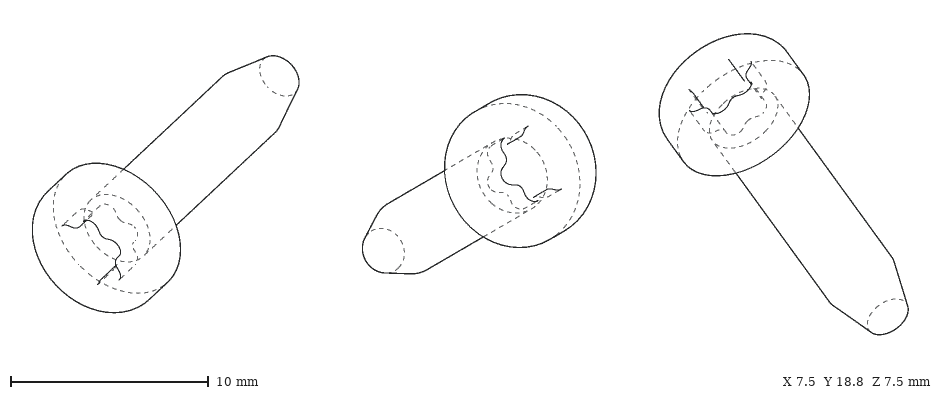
import cadquery as cq
import math

total_length = 18.8
head_diameter = 7.5
head_height = 2.8
head_fillet = 1.0
shank_diameter = 3.9
tip_diameter = 2.33
tip_length = 3.0

lobe_count = 6
lobe_tip_radius = 2.0
lobe_radius = 0.53
flank_angle = 66.0
flank_length = 0.2
recess_depth = 2.0
recess_fillet = 0.2

shank_length = total_length - head_height
half_pitch = math.pi / lobe_count
selection_margin = 0.02


def polar(radius, angle):
    """Point in the recess plane at a distance and angle from the screw axis."""
    return (radius * math.cos(angle), radius * math.sin(angle))


def offset(point, distance, angle):
    """Point shifted by a distance in the given direction."""
    step = polar(distance, angle)
    return (point[0] + step[0], point[1] + step[1])


def screw_body():
    """Head, shank and tapered tip, with the underside of the head at Y = 0."""
    head_radius = head_diameter / 2
    shank_radius = shank_diameter / 2
    profile = (
        cq.Workplane("XY")
        .moveTo(0, -head_height)
        .lineTo(head_radius, -head_height)
        .lineTo(head_radius, 0)
        .lineTo(shank_radius, 0)
        .lineTo(shank_radius, shank_length - tip_length)
        .lineTo(tip_diameter / 2, shank_length)
        .lineTo(0, shank_length)
        .close()
    )
    body = profile.revolve(360, (0, 0, 0), (0, 1, 0))
    return body.faces("<Y").edges().fillet(head_fillet)


def lobe_outline(plane):
    """Closed six-lobe outline: lobe arcs and valley arcs joined by straight tangent flanks."""
    lobe_center_radius = lobe_tip_radius - lobe_radius

    flank_normal = math.radians(flank_angle)
    flank_direction = flank_normal + math.pi / 2

    lobe_end = offset((lobe_center_radius, 0), lobe_radius, flank_normal)
    valley_start = offset(lobe_end, flank_length, flank_direction)
    valley_distance = math.hypot(*valley_start)
    valley_angle = math.atan2(valley_start[1], valley_start[0])

    from_axis = valley_distance * math.sin(half_pitch - valley_angle)
    valley_radius = from_axis / math.sin(flank_normal - half_pitch)
    valley_center = offset(valley_start, valley_radius, flank_normal)
    valley_floor_radius = math.hypot(*valley_center) - valley_radius

    lobe_end_distance = math.hypot(*lobe_end)
    lobe_end_angle = math.atan2(lobe_end[1], lobe_end[0])
    first_axis = math.pi / 2
    outline = plane.moveTo(*polar(lobe_end_distance, first_axis - lobe_end_angle))
    for index in range(lobe_count):
        lobe_axis = first_axis + 2 * half_pitch * index
        valley_axis = lobe_axis + half_pitch
        next_lobe_axis = valley_axis + half_pitch
        outline = (
            outline
            .threePointArc(
                polar(lobe_tip_radius, lobe_axis),
                polar(lobe_end_distance, lobe_axis + lobe_end_angle),
            )
            .lineTo(*polar(valley_distance, lobe_axis + valley_angle))
            .threePointArc(
                polar(valley_floor_radius, valley_axis),
                polar(valley_distance, next_lobe_axis - valley_angle),
            )
            .lineTo(*polar(lobe_end_distance, next_lobe_axis - lobe_end_angle))
        )
    return outline.close()


def recess_edges_at(body, y):
    """Edges of the recess outline at a given position along the screw axis."""
    reach = lobe_tip_radius + selection_margin
    return body.edges(
        cq.selectors.BoxSelector(
            (-reach, y - selection_margin, -reach),
            (reach, y + selection_margin, reach),
            boundingbox=True,
        )
    )


def cut_drive_recess(body):
    """Six-lobe pocket in the head face, rounded at its rim and around its floor."""
    face_y = -head_height
    plane = cq.Workplane("XZ", origin=(0, face_y, 0))
    recess = lobe_outline(plane).extrude(-recess_depth)
    recess = recess.faces(">Y").edges().fillet(recess_fillet)
    body = body.cut(recess)
    return recess_edges_at(body, face_y).fillet(recess_fillet)


result = cut_drive_recess(screw_body()).solids()